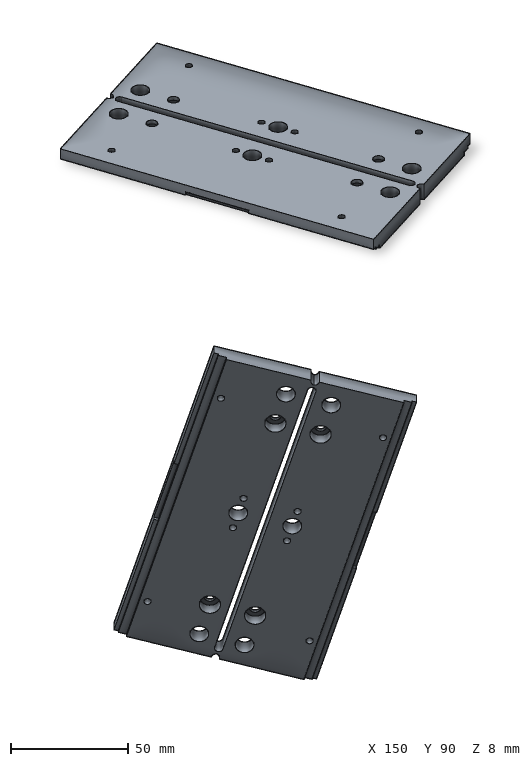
import cadquery as cq

length = 150.0
width = 90.0
thickness = 8.0

outer_step_height = 2.7
outer_step_inset = 2.0
inner_step_height = 1.6
inner_step_inset = 5.5

recess_length = 30.3
recess_height = 1.6
recess_depth = 2.1
recess_relief_radius = 0.6

slot_length = 143.0
slot_width = 3.6
notch_arc_radius = 2.2

large_diameter = 8.0
medium_diameter = 5.0
small_diameter = 3.0
counterbore_diameter = 9.0
counterbore_depth = 6.0
end_hole_x = 65.0
medium_hole_x = 49.0
inner_row_y = 10.0
corner_hole_x = 55.0
corner_hole_y = 36.0
centre_hole_y = 12.0
centre_screw_x = 8.0


def stepped_plate():
    """Plate with two steps cut under both long edges, extruded along X."""
    edge = width / 2
    right_side = [
        (edge - inner_step_inset, 0),
        (edge - inner_step_inset, inner_step_height),
        (edge - outer_step_inset, inner_step_height),
        (edge - outer_step_inset, outer_step_height),
        (edge, outer_step_height),
        (edge, thickness),
    ]
    left_side = [(-y, z) for y, z in reversed(right_side)]
    profile = cq.Workplane("YZ").polyline(right_side + left_side).close()
    return profile.extrude(length / 2, both=True)


def edge_recess(side):
    """Recess cutter for the long edge at side * width / 2, with round corner reliefs."""
    block = cq.Workplane("XY").box(
        recess_length, 2 * recess_depth, recess_height, centered=(True, True, False)
    )
    relief_x = recess_length / 2 - recess_relief_radius
    relief_centres = [(-relief_x, -side * recess_depth), (relief_x, -side * recess_depth)]
    reliefs = cq.Workplane("XY").pushPoints(relief_centres).circle(recess_relief_radius)
    cutter = block.union(reliefs.extrude(recess_height))
    return cutter.translate((0, side * width / 2, outer_step_height))


def central_slot():
    """Long through slot with half-round ends."""
    return cq.Workplane("XY").slot2D(slot_length, slot_width).extrude(thickness)


def end_notch(side):
    """Pointed through notch in the short edge at side * length / 2: the overlap of two cylinders."""
    offset = notch_arc_radius - slot_width / 2
    centre_x = side * length / 2
    lower = cq.Workplane("XY").center(centre_x, -offset).circle(notch_arc_radius).extrude(thickness)
    upper = cq.Workplane("XY").center(centre_x, offset).circle(notch_arc_radius).extrude(thickness)
    return lower.intersect(upper)


def mirrored_holes(x, y, diameter, depth=thickness):
    """Hole cutters from the bottom face at (x, y) and its mirror images about both centre lines."""
    columns = (x, -x) if x else (x,)
    centres = [(column, row) for column in columns for row in (y, -y)]
    return cq.Workplane("XY").pushPoints(centres).circle(diameter / 2).extrude(depth)


result = stepped_plate()
for side in (-1, 1):
    result = result.cut(edge_recess(side)).cut(end_notch(side))
result = result.cut(central_slot())

for x, y, diameter in (
    (end_hole_x, inner_row_y, large_diameter),
    (medium_hole_x, inner_row_y, medium_diameter),
    (corner_hole_x, corner_hole_y, small_diameter),
    (0, centre_hole_y, large_diameter),
    (centre_screw_x, centre_hole_y, small_diameter),
):
    result = result.cut(mirrored_holes(x, y, diameter))

result = result.cut(mirrored_holes(medium_hole_x, inner_row_y, counterbore_diameter, counterbore_depth))